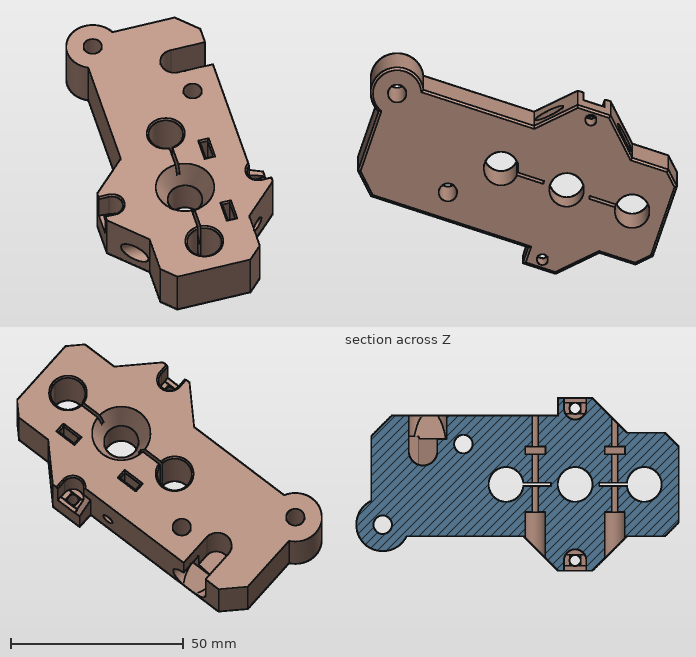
import cadquery as cq
import math

HEIGHT = 17.0
RIGHT_X = 30.0
LEFT_X = -59.0
BODY_BACK_Y = 20.0
BODY_SIDE_Y = 15.0
EAR_Y = 25.0
EAR_HALF_WIDTH = 5.0
LEFT_CHAMFER = 6.0
RIGHT_CHAMFER = 4.0
BOTTOM_CHAMFER = 0.7
TOP_CHAMFER = 0.5
TOP_CHAMFER_ANGLE = 45.0

MOUNT_CENTER_X = -44.0
MOUNT_SPACING = 33.0
MOUNT_OFFSET = MOUNT_SPACING * math.sqrt(0.5) / 2
MOUNT_HOLE_DIAMETER = 5.3
OVERALL_LEFT_X = -63.35
BOSS_RADIUS = MOUNT_CENTER_X - MOUNT_OFFSET - OVERALL_LEFT_X

BORE_DIAMETER = 10.0
BORE_PITCH = 20.0
FUNNEL_DEPTH = 6.0
FUNNEL_HALF_ANGLE = 30.0
SLIT_WIDTH = 0.9
SLIT_INNER_X = 7.0

CLAMP_X = 11.5
CLAMP_Z = 7.0
CLAMP_HOLE_DIAMETER = 3.4
CLAMP_HEAD_DIAMETER = 6.4
CLAMP_HEAD_SEAT_Y = -8.0
NUT_Y = 9.85
NUT_WIDTH = 5.8
NUT_THICKNESS = 2.2
NUT_POCKET_FLOOR_Z = CLAMP_Z - NUT_WIDTH / 2

EAR_HOLE_Y = 22.0
EAR_HOLE_DIAMETER = 3.2
EAR_HEAD_DIAMETER = 6.4
EAR_POCKET_FLOOR_Z = 8.3
BRIDGE_STEP = 0.25

RELIEF_OUTER_Z = 8.5
RELIEF_ANGLE = 30.0

RECESS_WIDTH = 8.2
RECESS_END_Y = 9.6
RECESS_FLOOR_Z = 2.0
RECESS_STEP_X = -45.4
RECESS_FLOOR_END_Y = 14.0
RECESS_FLOOR_ANGLE = 18.0
RAMP_TOP_Y = 13.2
RAMP_ANGLE = 10.3
MOUTH_HEIGHT = 9.0
MOUTH_WIDTH = 12.1
MOUTH_Z = 5.4


def cylinder_z(x, y, diameter, bottom=0.0, top=HEIGHT):
    """Upright cylinder between two heights."""
    return cq.Workplane("XY", origin=(x, y, bottom)).circle(diameter / 2).extrude(top - bottom)


def cylinder_y(x, z, diameter, start, end):
    """Cylinder along +Y between two Y positions."""
    return cq.Workplane("XZ", origin=(x, start, z)).circle(diameter / 2).extrude(start - end)


def box(x_range, y_range, z_range):
    """Box from its minimum and maximum X, Y and Z."""
    ranges = (x_range, y_range, z_range)
    sizes = [high - low for low, high in ranges]
    corner = [low for low, _ in ranges]
    return cq.Workplane("XY", origin=corner).box(*sizes, centered=False)


def top_countersink(x, y, diameter, depth, half_angle):
    """Cone that widens from the given diameter up to the top face."""
    radius = diameter / 2
    top_radius = radius + depth * math.tan(math.radians(half_angle))
    return (
        cq.Workplane("XZ", origin=(x, y, 0))
        .moveTo(0, HEIGHT - depth)
        .lineTo(radius, HEIGHT - depth)
        .lineTo(top_radius, HEIGHT)
        .lineTo(0, HEIGHT)
        .close()
        .revolve(360, (0, 0, 0), (0, 1, 0))
    )


def make_body():
    slope_end_x = EAR_HALF_WIDTH + EAR_Y - BODY_SIDE_Y
    outline = [
        (LEFT_X, -BODY_SIDE_Y),
        (-slope_end_x, -BODY_SIDE_Y),
        (-EAR_HALF_WIDTH, -EAR_Y),
        (EAR_HALF_WIDTH, -EAR_Y),
        (slope_end_x, -BODY_SIDE_Y),
        (RIGHT_X - RIGHT_CHAMFER, -BODY_SIDE_Y),
        (RIGHT_X, -BODY_SIDE_Y + RIGHT_CHAMFER),
        (RIGHT_X, BODY_SIDE_Y - RIGHT_CHAMFER),
        (RIGHT_X - RIGHT_CHAMFER, BODY_SIDE_Y),
        (slope_end_x, BODY_SIDE_Y),
        (EAR_HALF_WIDTH, EAR_Y),
        (-EAR_HALF_WIDTH, EAR_Y),
        (-EAR_HALF_WIDTH, BODY_BACK_Y),
        (LEFT_X + LEFT_CHAMFER, BODY_BACK_Y),
        (LEFT_X, BODY_BACK_Y - LEFT_CHAMFER),
    ]
    block = cq.Workplane("XY").polyline(outline).close().extrude(HEIGHT)
    boss = cylinder_z(MOUNT_CENTER_X - MOUNT_OFFSET, -MOUNT_OFFSET, 2 * BOSS_RADIUS)
    return block.union(boss).faces("<Z").chamfer(BOTTOM_CHAMFER)


def cut_mounting_holes(part):
    for side in (-1, 1):
        offset = side * MOUNT_OFFSET
        part = part.cut(cylinder_z(MOUNT_CENTER_X + offset, offset, MOUNT_HOLE_DIAMETER))
    return part


def cut_bores(part):
    part = part.cut(cylinder_z(0, 0, BORE_DIAMETER))
    part = part.cut(top_countersink(0, 0, BORE_DIAMETER, FUNNEL_DEPTH, FUNNEL_HALF_ANGLE))
    half_slit = SLIT_WIDTH / 2
    for side in (-1, 1):
        bore_x = side * BORE_PITCH
        slit_x = sorted((side * SLIT_INNER_X, bore_x))
        part = part.cut(cylinder_z(bore_x, 0, BORE_DIAMETER))
        part = part.cut(top_countersink(bore_x, 0, BORE_DIAMETER, TOP_CHAMFER, TOP_CHAMFER_ANGLE))
        part = part.cut(box(slit_x, (-half_slit, half_slit), (0, HEIGHT)))
    return part


def nut_pocket(x):
    """Rectangular nut pocket, open and chamfered at the top."""
    shaft = cq.Workplane("XY", origin=(x, NUT_Y, NUT_POCKET_FLOOR_Z)).rect(NUT_WIDTH, NUT_THICKNESS)
    shaft = shaft.extrude(HEIGHT - NUT_POCKET_FLOOR_Z)
    lead_in = (
        cq.Workplane("XY", origin=(x, NUT_Y, HEIGHT))
        .rect(NUT_WIDTH + 2 * TOP_CHAMFER, NUT_THICKNESS + 2 * TOP_CHAMFER)
        .extrude(-TOP_CHAMFER, taper=TOP_CHAMFER_ANGLE)
    )
    return shaft.union(lead_in)


def cut_clamp_screws(part):
    for x in (-CLAMP_X, CLAMP_X):
        part = part.cut(cylinder_y(x, CLAMP_Z, CLAMP_HOLE_DIAMETER, -EAR_Y, EAR_Y))
        part = part.cut(cylinder_y(x, CLAMP_Z, CLAMP_HEAD_DIAMETER, -EAR_Y, CLAMP_HEAD_SEAT_Y))
        part = part.cut(nut_pocket(x))
    return part


def ear_screw_cutter():
    """Head pocket, bridging steps and hole for the ear on the -Y side."""
    radius = EAR_HEAD_DIAMETER / 2
    half_hole = EAR_HOLE_DIAMETER / 2
    open_y = -EAR_Y - TOP_CHAMFER
    straight_y = (open_y, -EAR_HOLE_Y)
    hole_y = (-EAR_HOLE_Y - half_hole, -EAR_HOLE_Y + half_hole)
    upper_step_z = EAR_POCKET_FLOOR_Z - BRIDGE_STEP
    lower_step_z = upper_step_z - BRIDGE_STEP

    pocket = cylinder_z(0, -EAR_HOLE_Y, EAR_HEAD_DIAMETER, upper_step_z)
    pocket = pocket.union(box((-radius, radius), straight_y, (upper_step_z, HEIGHT)))
    floor_slab = box((-radius, radius), (open_y, 0), (upper_step_z, EAR_POCKET_FLOOR_Z))
    floor_slab = floor_slab.cut(box((-radius, radius), hole_y, (upper_step_z, EAR_POCKET_FLOOR_Z)))
    pocket = pocket.cut(floor_slab)
    square = box((-half_hole, half_hole), hole_y, (lower_step_z, EAR_POCKET_FLOOR_Z))

    lead_in = (
        cq.Workplane("XZ", origin=(0, -EAR_HOLE_Y, 0))
        .moveTo(-radius, HEIGHT - TOP_CHAMFER)
        .lineTo(radius, HEIGHT - TOP_CHAMFER)
        .lineTo(radius + TOP_CHAMFER, HEIGHT)
        .lineTo(-radius - TOP_CHAMFER, HEIGHT)
        .close()
        .extrude(-EAR_HOLE_Y - open_y)
    )
    lead_in = lead_in.union(top_countersink(0, -EAR_HOLE_Y, EAR_HEAD_DIAMETER, TOP_CHAMFER, TOP_CHAMFER_ANGLE))
    hole = cylinder_z(0, -EAR_HOLE_Y, EAR_HOLE_DIAMETER)
    return pocket.union(square).union(lead_in).union(hole)


def cut_ear_screws(part):
    front_cutter = ear_screw_cutter()
    back_cutter = front_cutter.mirror("XZ")
    return part.cut(front_cutter).cut(back_cutter)


def cut_ear_relief(part):
    """Open the left side of the back ear pocket above a slope that falls towards the back."""
    rise = (EAR_Y - BODY_BACK_Y) * math.tan(math.radians(RELIEF_ANGLE))
    relief = (
        cq.Workplane("YZ", origin=(-EAR_HALF_WIDTH, 0, 0))
        .moveTo(EAR_Y, RELIEF_OUTER_Z)
        .lineTo(BODY_BACK_Y, RELIEF_OUTER_Z + rise)
        .lineTo(BODY_BACK_Y, HEIGHT)
        .lineTo(EAR_Y, HEIGHT)
        .close()
        .extrude(EAR_HALF_WIDTH)
    )
    return part.cut(relief)


def cut_recess(part):
    """Round-ended recess with a tilted floor and a wider rounded mouth over a ramp."""
    half_width = RECESS_WIDTH / 2
    left_x = MOUNT_CENTER_X - half_width
    right_x = MOUNT_CENTER_X + half_width
    mouth_floor_z = MOUTH_Z - MOUTH_HEIGHT / 2
    floor_rise = (right_x - RECESS_STEP_X) * math.tan(math.radians(RECESS_FLOOR_ANGLE))
    ramp_rise = (BODY_BACK_Y - RAMP_TOP_Y) * math.tan(math.radians(RAMP_ANGLE))

    inner = cylinder_z(MOUNT_CENTER_X, RECESS_END_Y, RECESS_WIDTH)
    inner = inner.union(box((left_x, right_x), (RECESS_END_Y, RECESS_FLOOR_END_Y), (0, HEIGHT)))
    above_floor = (
        cq.Workplane("XZ", origin=(0, RECESS_FLOOR_END_Y, 0))
        .moveTo(left_x, RECESS_FLOOR_Z)
        .lineTo(RECESS_STEP_X, RECESS_FLOOR_Z)
        .lineTo(right_x, RECESS_FLOOR_Z + floor_rise)
        .lineTo(right_x, HEIGHT)
        .lineTo(left_x, HEIGHT)
        .close()
        .extrude(RECESS_FLOOR_END_Y)
    )
    inner = inner.intersect(above_floor)

    mouth = (
        cq.Workplane("XZ", origin=(left_x + MOUTH_WIDTH / 2, RAMP_TOP_Y, MOUTH_Z))
        .slot2D(MOUTH_WIDTH, MOUTH_HEIGHT)
        .extrude(RAMP_TOP_Y - BODY_BACK_Y)
    )
    mouth = mouth.union(box((left_x, right_x), (RAMP_TOP_Y, BODY_BACK_Y), (MOUTH_Z, HEIGHT)))
    ramp = (
        cq.Workplane("YZ", origin=(left_x, 0, 0))
        .moveTo(BODY_BACK_Y, 0)
        .lineTo(BODY_BACK_Y, mouth_floor_z)
        .lineTo(RAMP_TOP_Y, mouth_floor_z + ramp_rise)
        .lineTo(RAMP_TOP_Y, 0)
        .close()
        .extrude(MOUTH_WIDTH)
    )
    return part.cut(inner).cut(mouth.cut(ramp))


result = make_body()
result = cut_mounting_holes(result)
result = cut_bores(result)
result = cut_clamp_screws(result)
result = cut_ear_screws(result)
result = cut_ear_relief(result)
result = cut_recess(result)